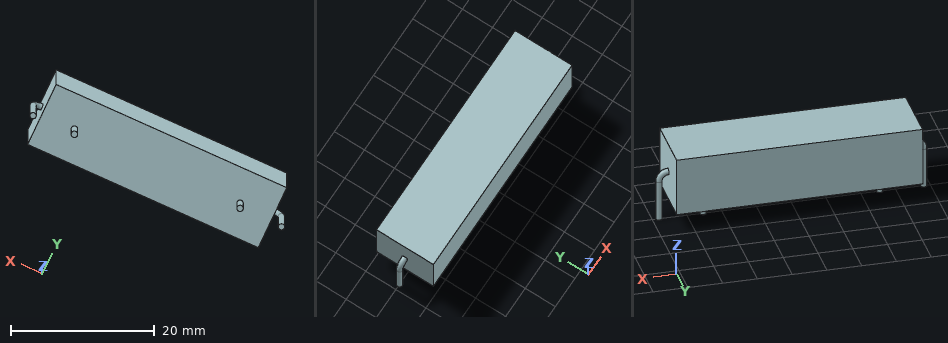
import cadquery as cq

body_length = 35.4
body_width = 9.5
body_height = 8.73

wire_diameter = 0.91
lead_drop = 3.0
end_lead_pitch = 38.1
bottom_lead_pitch = 25.4
lead_exit_height = body_height / 2
bend_radius = (end_lead_pitch - body_length) / 2
lead_embed = 1.0

wire_radius = wire_diameter / 2


def make_body():
    return cq.Workplane("XY").box(
        body_length, body_width, body_height, centered=(True, True, False)
    )


def make_bottom_lead(x):
    """Straight lead pointing down from the underside."""
    return (
        cq.Workplane("XY", origin=(x, 0, -lead_drop))
        .circle(wire_radius)
        .extrude(lead_drop + lead_embed)
    )


def make_end_lead(side):
    """Lead that leaves an end face and bends down; side is -1 or +1 along X."""
    x = side * end_lead_pitch / 2
    bend_start_z = lead_exit_height - bend_radius
    bend_end_x = x - side * bend_radius
    wire_axis = (
        cq.Workplane("XZ")
        .moveTo(x, -lead_drop)
        .lineTo(x, bend_start_z)
        .tangentArcPoint((bend_end_x, lead_exit_height), relative=False)
        .lineTo(bend_end_x - side * lead_embed, lead_exit_height)
    )
    return (
        cq.Workplane("XY", origin=(x, 0, -lead_drop))
        .circle(wire_radius)
        .sweep(wire_axis)
    )


result = make_body()
for side in (-1, 1):
    result = result.union(make_bottom_lead(side * bottom_lead_pitch / 2))
    result = result.union(make_end_lead(side))